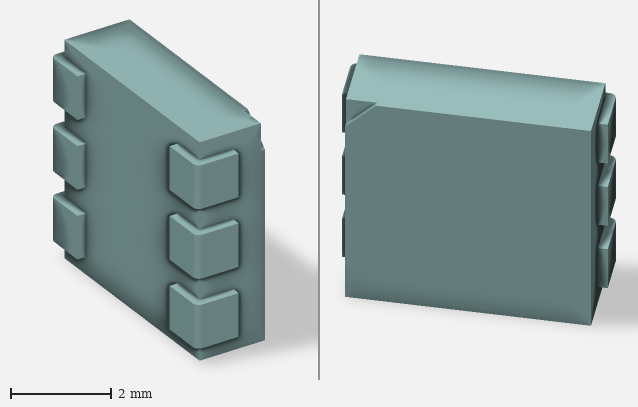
import cadquery as cq

overall_width = 5.4
lead_thickness = 0.2
body_height = 5.0
body_depth = 1.55
lead_width = 1.0
lead_reach = 1.0
lead_pitch = 1.6
bend_radius = 0.14
mark_leg = 0.625
mark_depth = 0.095

body_width = overall_width - 2 * lead_thickness
half_width = overall_width / 2
foot_face = -lead_thickness


def make_body():
    """Rectangular package, with the back face at Y = 0."""
    return cq.Workplane("XY").box(body_width, body_depth, body_height, centered=(True, False, True))


def make_corner_mark():
    """Shallow triangular prism that is cut from the +X, +Z corner of the +Y face."""
    corner_x = body_width / 2
    corner_z = body_height / 2
    return (
        cq.Workplane("XZ", origin=(0, body_depth, 0))
        .moveTo(corner_x, corner_z)
        .lineTo(corner_x - mark_leg, corner_z)
        .lineTo(corner_x, corner_z - mark_leg)
        .close()
        .extrude(mark_depth)
    )


def make_right_lead(center_z):
    """L-shaped lead wrapping the +X edge, with a rounded outer bend."""
    inner_x = half_width - lead_thickness
    return (
        cq.Workplane("XY", origin=(0, 0, center_z - lead_width / 2))
        .moveTo(half_width - lead_reach, foot_face)
        .lineTo(half_width - bend_radius, foot_face)
        .radiusArc((half_width, foot_face + bend_radius), -bend_radius)
        .lineTo(half_width, foot_face + lead_reach)
        .lineTo(inner_x, foot_face + lead_reach)
        .lineTo(inner_x, 0)
        .lineTo(half_width - lead_reach, 0)
        .close()
        .extrude(lead_width)
    )


result = make_body().cut(make_corner_mark())
for row in (-1, 0, 1):
    right_lead = make_right_lead(row * lead_pitch)
    result = result.union(right_lead).union(right_lead.mirror("YZ"))